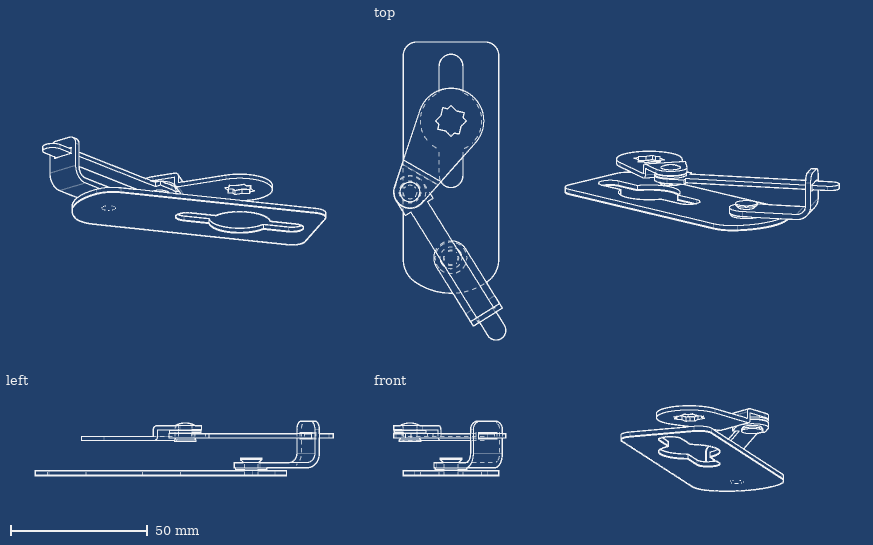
import cadquery as cq
import math


plate_width = 35.0
plate_top_y = 28.9
plate_bottom_y = -63.0
sheet_thickness = 0.3
plate_thickness = 1.6
plate_corner_radius = 5.0
plate_side_radius = 10.0
plate_bottom_radius = 22.9
slot_width = 8.6
slot_half_length = 24.3
clearance_hole_diameter = 22.5

crank_length = 30.0
crank_angle = 30.0
bracket_pivot_y = -50.0

washer_diameter = 11.5
washer_thickness = 0.8
lower_washer_gap = 0.2
upper_washer_gap = 0.27

bracket_width = 12.5
bracket_thickness = 2.0
bracket_reach = 25.5
bracket_top_z = 20.0
bracket_bend_radius = 5.3
bracket_corner_radius = 3.0
guide_width = 8.0
guide_height = 2.3

rod_bottom_z = 13.8
rod_thickness = 1.6
rod_width = 7.2
rod_length = 63.1
rod_head_width = 12.0
rod_head_length = 6.4

lever_thickness = 1.6
lever_offset = 3.9
lever_hub_radius = 12.0
lever_eye_radius = 6.0
lever_step_distance = 8.9
lever_bend_radius = 1.5
star_square_side = 8.0

shank_diameter = 5.0
head_diameter = 8.0
head_thickness = 0.5
lower_neck_diameter = 5.7
lower_head_height = 1.6
upper_neck_diameter = 7.0
upper_head_height = 1.3
dome_diameter = 7.2
dome_height = 1.0

plate_top_z = sheet_thickness + plate_thickness
lower_washer_z = plate_top_z + lower_washer_gap
bracket_bottom_z = lower_washer_z + washer_thickness
bracket_floor_z = bracket_bottom_z + bracket_thickness
rod_top_z = rod_bottom_z + rod_thickness
upper_washer_z = rod_top_z + upper_washer_gap
lever_eye_bottom_z = upper_washer_z + washer_thickness + upper_washer_gap
lever_eye_top_z = lever_eye_bottom_z + lever_thickness
lever_hub_bottom_z = lever_eye_bottom_z - lever_offset

crank_pivot_x = -crank_length * math.sin(math.radians(crank_angle))
crank_pivot_y = -crank_length * math.cos(math.radians(crank_angle))
rod_angle = math.degrees(math.atan2(bracket_pivot_y - crank_pivot_y, -crank_pivot_x))
lever_direction = 90.0 - crank_angle


def place(body, x, y, angle=0.0):
    """Turn a body about the Z axis and move its local origin to (x, y)."""
    return body.rotate((0, 0, 0), (0, 0, 1), angle).translate((x, y, 0))


def cylinder(diameter, bottom_z, height):
    """Upright cylinder on the local Z axis."""
    return cq.Workplane("XY").workplane(offset=bottom_z).circle(diameter / 2).extrude(height)


def make_keyhole_panel(bottom_z, thickness):
    """Panel with a rounded outline, a long slot and a round hole in the middle of the slot."""
    half_width = plate_width / 2
    side_centre_x = half_width - plate_side_radius
    bottom_centre_y = plate_bottom_y + plate_bottom_radius
    centre_distance = plate_bottom_radius - plate_side_radius
    drop = math.sqrt(centre_distance**2 - side_centre_x**2)
    side_centre_y = bottom_centre_y - drop
    joint_x = side_centre_x * plate_bottom_radius / centre_distance
    joint_y = bottom_centre_y - drop * plate_bottom_radius / centre_distance

    base = cq.Workplane("XY").workplane(offset=bottom_z)
    panel = (
        base.moveTo(-half_width, plate_top_y)
        .lineTo(half_width, plate_top_y)
        .lineTo(half_width, side_centre_y)
        .radiusArc((joint_x, joint_y), plate_side_radius)
        .threePointArc((0, plate_bottom_y), (-joint_x, joint_y))
        .radiusArc((-half_width, side_centre_y), plate_side_radius)
        .close()
        .extrude(thickness)
    )
    panel = panel.edges("|Z and >Y").fillet(plate_corner_radius)
    slot = base.slot2D(2 * slot_half_length, slot_width, 90).extrude(thickness)
    return panel.cut(slot).cut(cylinder(clearance_hole_diameter, bottom_z, thickness))


def make_plate():
    rivet_hole = cylinder(shank_diameter, sheet_thickness, plate_thickness)
    panel = make_keyhole_panel(sheet_thickness, plate_thickness)
    return panel.cut(place(rivet_hole, 0, bracket_pivot_y))


def make_washer(bottom_z):
    rivet_hole = cylinder(shank_diameter, bottom_z, washer_thickness)
    return cylinder(washer_diameter, bottom_z, washer_thickness).cut(rivet_hole)


def make_bracket():
    """Bent strip along local +X, with its pivot on the local Z axis."""
    inner_x = bracket_reach - bracket_thickness
    strip = (
        cq.Workplane("XZ")
        .moveTo(0, bracket_bottom_z)
        .lineTo(bracket_reach, bracket_bottom_z)
        .lineTo(bracket_reach, bracket_top_z)
        .lineTo(inner_x, bracket_top_z)
        .lineTo(inner_x, bracket_floor_z)
        .lineTo(0, bracket_floor_z)
        .close()
        .extrude(bracket_width / 2, both=True)
    )
    strip = strip.edges("|Y and >X and <Z").fillet(bracket_bend_radius)
    inner_corner = cq.selectors.NearestToPointSelector((inner_x, 0, bracket_floor_z))
    strip = strip.edges("|Y").edges(inner_corner).fillet(bracket_bend_radius - bracket_thickness)
    strip = strip.edges("|X and >Z").fillet(bracket_corner_radius)

    eye = cylinder(bracket_width, bracket_bottom_z, bracket_thickness)
    rivet_hole = cylinder(shank_diameter, bracket_bottom_z, bracket_thickness)
    guide = cq.Workplane("XY").box(2 * bracket_thickness, guide_width, guide_height)
    guide = guide.translate((bracket_reach, 0, rod_bottom_z + rod_thickness / 2))
    return strip.union(eye).cut(rivet_hole).cut(guide)


def make_rod():
    """Flat rod along local +X, with its eye on the local Z axis."""
    head_half = rod_head_width / 2
    half = rod_width / 2
    rod = (
        cq.Workplane("XY")
        .workplane(offset=rod_bottom_z)
        .moveTo(0, -head_half)
        .lineTo(rod_head_length, -head_half)
        .lineTo(rod_head_length, -half)
        .lineTo(rod_length - half, -half)
        .threePointArc((rod_length, 0), (rod_length - half, half))
        .lineTo(rod_head_length, half)
        .lineTo(rod_head_length, head_half)
        .lineTo(0, head_half)
        .threePointArc((-head_half, 0), (0, -head_half))
        .close()
        .extrude(rod_thickness)
    )
    return rod.cut(cylinder(shank_diameter, rod_bottom_z, rod_thickness))


def make_lever():
    """Stepped lever along local +X, from its eye on the local Z axis to its star hub."""
    sine = (lever_eye_radius - lever_hub_radius) / crank_length
    cosine = math.sqrt(1 - sine**2)
    eye_x = lever_eye_radius * sine
    eye_y = lever_eye_radius * cosine
    hub_x = crank_length + lever_hub_radius * sine
    hub_y = lever_hub_radius * cosine
    outline = (
        cq.Workplane("XY")
        .workplane(offset=lever_hub_bottom_z)
        .moveTo(eye_x, -eye_y)
        .lineTo(hub_x, -hub_y)
        .threePointArc((crank_length + lever_hub_radius, 0), (hub_x, hub_y))
        .lineTo(eye_x, eye_y)
        .threePointArc((-lever_eye_radius, 0), (eye_x, -eye_y))
        .close()
        .extrude(lever_offset + lever_thickness)
    )

    start_x = -lever_eye_radius
    end_x = crank_length + lever_hub_radius
    inner_step_x = lever_step_distance - lever_thickness
    profile = (
        cq.Workplane("XZ")
        .moveTo(start_x, lever_eye_bottom_z)
        .lineTo(start_x, lever_eye_top_z)
        .lineTo(lever_step_distance, lever_eye_top_z)
        .lineTo(lever_step_distance, lever_hub_bottom_z + lever_thickness)
        .lineTo(end_x, lever_hub_bottom_z + lever_thickness)
        .lineTo(end_x, lever_hub_bottom_z)
        .lineTo(inner_step_x, lever_hub_bottom_z)
        .lineTo(inner_step_x, lever_eye_bottom_z)
        .close()
        .extrude(lever_hub_radius, both=True)
    )
    for x, z in ((lever_step_distance, lever_eye_top_z), (inner_step_x, lever_hub_bottom_z)):
        outer_corner = cq.selectors.NearestToPointSelector((x, 0, z))
        profile = profile.edges("|Y").edges(outer_corner).fillet(lever_bend_radius)
    lever = outline.intersect(profile)

    return lever.cut(cylinder(shank_diameter, lever_eye_bottom_z, lever_thickness))


def make_star_cutter():
    """Two crossed squares: one on its corner in plan, one on its corner along the rod."""
    cutter = cq.Workplane("XY")
    for angle in (45.0, rod_angle + 45.0):
        square = cq.Workplane("XY").rect(star_square_side, star_square_side).extrude(lever_eye_top_z)
        cutter = cutter.add(place(square, 0, 0, angle))
    return cutter.combine()


def make_rivet(far_z, seat_z, head_z, neck_diameter):
    """Rivet on the local Z axis: a shank from far_z, then a cone from seat_z to the flat head."""
    head_radius = head_diameter / 2
    head_inner_z = head_z - math.copysign(head_thickness, head_z - seat_z)
    half_section = (
        cq.Workplane("XZ")
        .moveTo(0, far_z)
        .lineTo(shank_diameter / 2, far_z)
        .lineTo(shank_diameter / 2, seat_z)
        .lineTo(neck_diameter / 2, seat_z)
        .lineTo(head_radius, head_inner_z)
        .lineTo(head_radius, head_z)
        .lineTo(0, head_z)
        .close()
    )
    return half_section.revolve(360, (0, 0, 0), (0, 1, 0))


def make_dome():
    """Spherical cap on top of the lever eye."""
    return (
        cq.Workplane("XZ")
        .moveTo(0, lever_eye_top_z)
        .lineTo(dome_diameter / 2, lever_eye_top_z)
        .radiusArc(
            (0, lever_eye_top_z + dome_height),
            -((dome_diameter / 2) ** 2 + dome_height**2) / (2 * dome_height),
        )
        .close()
        .revolve(360, (0, 0, 0), (0, 1, 0))
    )


def make_upper_rivet():
    head_z = rod_bottom_z - upper_head_height
    return make_rivet(lever_eye_top_z, rod_bottom_z, head_z, upper_neck_diameter).union(make_dome())


def make_lower_rivet():
    head_z = bracket_floor_z + lower_head_height
    return make_rivet(sheet_thickness, bracket_floor_z, head_z, lower_neck_diameter)


backing_sheet = make_keyhole_panel(0, sheet_thickness)
plate = make_plate()
bracket = place(make_bracket(), 0, bracket_pivot_y, rod_angle)
lower_rivet = place(make_lower_rivet(), 0, bracket_pivot_y)
rod = place(make_rod(), crank_pivot_x, crank_pivot_y, rod_angle)
lever = place(make_lever(), crank_pivot_x, crank_pivot_y, lever_direction).cut(make_star_cutter())
upper_rivet = place(make_upper_rivet(), crank_pivot_x, crank_pivot_y)

washer_seats = [
    (0, bracket_pivot_y, lower_washer_z),
    (crank_pivot_x, crank_pivot_y, upper_washer_z),
]
washers = [place(make_washer(z), x, y) for x, y, z in washer_seats]

bodies = [backing_sheet, plate, bracket, lower_rivet, rod, lever, upper_rivet, *washers]
result = cq.Compound.makeCompound([body.val() for body in bodies])